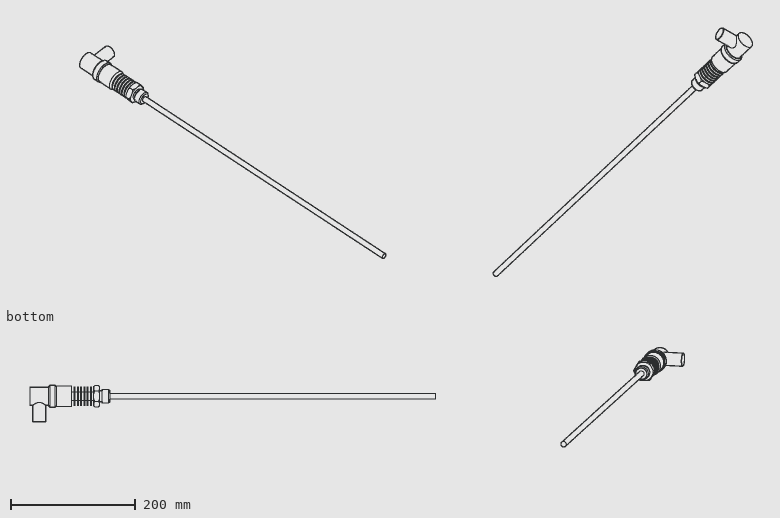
import cadquery as cq
import math

total_length = 651.0
total_width = 59.0

head_radius = 29.0 / 2
collar_start = 30.0
collar_end = 42.0
collar_radius = 36.0 / 2
collar_chamfer = 2.0
sleeve_end = 67.0
sleeve_radius = 33.0 / 2

fin_count = 6
fin_pitch = 5.0
fin_thickness = 1.6
fin_radius = 15.0
first_fin_start = 71.0
core_radius = 7.0

hex_start = 102.0
hex_length = 10.0
hex_across_flats = 30.0
hex_chamfer = 2.0
neck_radius = 9.0
gland_start = 116.0
gland_end = 128.0
gland_radius = 11.0
gland_chamfer = 2.0
rod_radius = 4.5

branch_x = 15.0
branch_radius = 21.5 / 2
branch_end_y = total_width - collar_radius
branch_chamfer = 0.5


def cylinder_along_x(start, end, radius):
    return cq.Workplane("YZ", origin=(start, 0, 0)).circle(radius).extrude(end - start)


def make_collar():
    collar = cylinder_along_x(collar_start, collar_end, collar_radius)
    return collar.faces("<X or >X").chamfer(collar_chamfer)


def make_hex_nut():
    """Hexagon with flats facing +/-Z and its corners turned down at both ends."""
    corner_diameter = hex_across_flats / math.cos(math.pi / 6)
    hexagon = (
        cq.Workplane("YZ", origin=(hex_start, 0, 0))
        .polygon(6, corner_diameter)
        .extrude(hex_length)
    )
    turned_blank = cylinder_along_x(hex_start, hex_start + hex_length, corner_diameter / 2)
    turned_blank = turned_blank.faces("<X or >X").chamfer(hex_chamfer)
    return hexagon.intersect(turned_blank)


def make_gland():
    gland = cylinder_along_x(gland_start, gland_end, gland_radius)
    return gland.faces(">X").chamfer(gland_chamfer)


def make_branch():
    """Side connection from the main axis toward +Y."""
    branch = cq.Workplane("XZ", origin=(branch_x, 0, 0)).circle(branch_radius).extrude(-branch_end_y)
    return branch.faces(">Y").chamfer(branch_chamfer)


result = cylinder_along_x(0, collar_start, head_radius)
result = result.union(make_branch())
result = result.union(make_collar())
result = result.union(cylinder_along_x(collar_end, sleeve_end, sleeve_radius))

result = result.union(cylinder_along_x(sleeve_end, hex_start, core_radius))
for index in range(fin_count):
    fin_start = first_fin_start + index * fin_pitch
    result = result.union(cylinder_along_x(fin_start, fin_start + fin_thickness, fin_radius))

result = result.union(make_hex_nut())
result = result.union(cylinder_along_x(hex_start + hex_length, gland_start, neck_radius))
result = result.union(make_gland())
result = result.union(cylinder_along_x(gland_end, total_length, rod_radius))